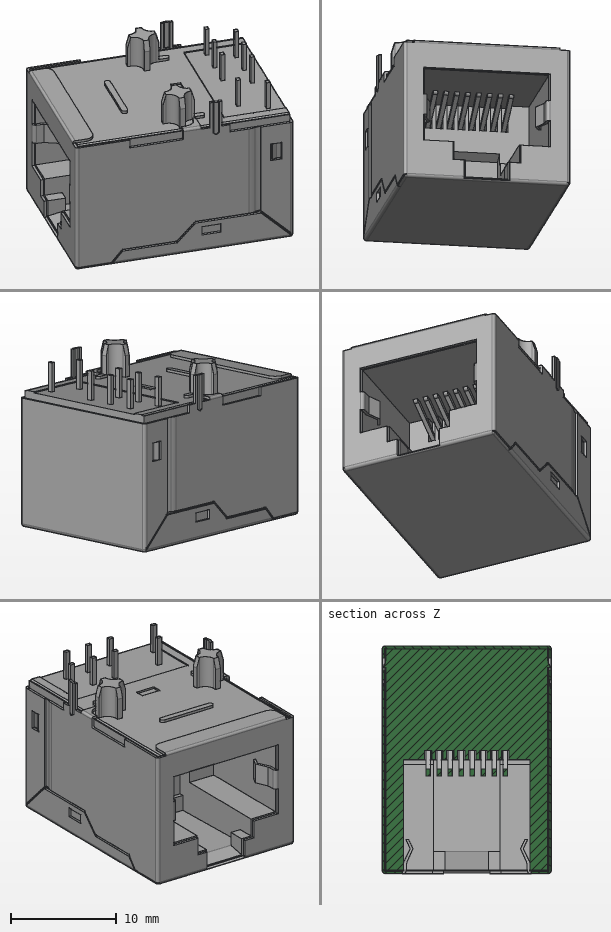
import cadquery as cq
import math

LENGTH = 21.6
TOTAL_HEIGHT = 16.45
TOTAL_WIDTH = 16.2
BEAD_HEIGHT = 0.09
SHEET = 0.25
BEND_RADIUS = 0.3
FOLD_RADIUS = 0.24
TOP = 13.33
CLEARANCE = 0.09
PIN_TOP = 16.05

raised_top = TOP + SHEET
shield_half = TOTAL_WIDTH / 2 - BEAD_HEIGHT
inner_half = shield_half - SHEET
housing_half = inner_half - CLEARANCE
housing_front = SHEET + CLEARANCE
housing_rear = LENGTH - SHEET

OPENING_HALF, OPENING_BOTTOM, OPENING_TOP = 6.1, 3.7, 10.9
CAVITY_TOP = 10.85
OPENING_MARGIN = 0.1
NOTCH_MARGIN = 0.15
LATCH_HALF, SILL_TOP = 3.15, 2.03
SILL_NOTCH_HALF = 2.05
SILL_DEPTH = 2.1
RAMP_START, RAMP_END, SLOT_FLOOR_END = 0.37, 0.7, 0.48
SLOT_CEILING, SLOT_CEILING_FRONT = 5.5, 6.05
CAVITY_DEPTH, SLOT_DEPTH = 10.8, 11.88
LEDGE_TOP, LEDGE_DEPTH = 4.97, 0.43

cavity_half = OPENING_HALF - OPENING_MARGIN
cavity_bottom = OPENING_BOTTOM + OPENING_MARGIN

CONTACT_COUNT, CONTACT_ROW = 8, 7.32
CONTACT_WIDTH, CONTACT_SLOT_WIDTH = 0.43, 0.67
CONTACT_THICKNESS = 0.3
CONTACT_BEND = 0.3
CONTACT_START = 7.13
CONTACT_SLOT_BOTTOM, CONTACT_SLOT_DEPTH = 8.25, 0.86

SHOULDER_INNER, SHOULDER_OUTER, SHOULDER_DROP = 7.37, 7.55, 0.09
REAR_RECESS_HALF, REAR_RECESS_START, REAR_RECESS_DEPTH = 6.48, 15.18, 0.1
POCKET_HALF, POCKET_START, POCKET_END, POCKET_DEPTH = 1.02, 12.2, 13.18, 0.17
BAR_LENGTH, BAR_WIDTH, BAR_Y = 6.1, 0.6, 6.45

POST_X, POST_Y = 5.7, 10.85
POST_REACH, POST_TOP_REACH = 1.55, 1.25
ARM_HALF = 0.28
TAPER_HEIGHT = 1.04
RIB_CORNER_RADIUS = 0.25
RIB_END = 13.48

PIN_ROW = 10.15
FIRST_PIN_X = -5.7
PIN_WIDTH, PIN_DEPTH = 0.48, 0.37
FRONT_PIN_Y, REAR_PIN_Y = 17.2, 19.75
PIN_PLACES = [0, 1, 2, 4]

pin_pitch = PIN_ROW / PIN_PLACES[-1]

WINDOW_START, WINDOW_END, WINDOW_BOTTOM, WINDOW_TOP = 19.33, 20.43, 8.73, 10.52
LATCH_TIP_Y, LATCH_BREAK_Y, LATCH_BREAK, LATCH_HEIGHT = 19.5, 20.0, 0.06, 0.3
LOW_WINDOW = (12.53, 14.4, 1.75, 2.65)

REAR_NOTCH_START, REAR_NOTCH_BOTTOM = 15.31, 12.55
SIDE_NOTCH_START, SIDE_NOTCH_END, SIDE_NOTCH_BOTTOM = 5.35, 10.67, 12.48
NOTCH_CORNER_RADIUS = 0.15
FLAP_HALF, FLAP_LENGTH, FLAP_CORNER_RADIUS = 7.02, 2.22, 0.86
TAB_END, TAB_REACH, TAB_STRIP, TAB_FINGER = 12.45, 1.84, 0.58, 0.32
TAB_HOLLOW_RADIUS = 1.02
PRONG_Y, PRONG_WIDTH = 13.9, 1.17
BEAD_HALF, BEAD_FLAT_HALF, BEAD_SHOULDER, BEAD_BOTTOM = 0.32, 0.22, 12.75, 12.53
JOG_START, JOG_END, JOG_DEPTH = 17.2, 18.38, 0.17
SEAM_GAP = 0.2
SEAM_HIGH, SEAM_LOW = 3.35, 1.51
SEAM_STEP_TOP, SEAM_STEP_BOTTOM, SEAM_LOW_END = 11.88, 10.07, 4.65
BASE_LIP = 0.09
SEAM_FRONT = 3.56
SPRING_BOTTOM, SPRING_TOP = 6.29, 8.27
SPRING_BULGE_X = 5.1
SPRING_BULGE_START, SPRING_BULGE_Y, SPRING_END = 1.08, 2.38, 3.25
SPRING_TIP_X = 5.5
SPRING_LEAN = 0.05
SPRING_BEND = 0.35


def box(x0, x1, y0, y1, z0, z1):
    """Box given by its limits along each axis."""
    return cq.Workplane().box(x1 - x0, y1 - y0, z1 - z0, centered=False).translate((x0, y0, z0))


def side_plate(points, x0, x1):
    """Closed Y-Z outline extruded along X from x0 to x1."""
    return cq.Workplane("YZ").workplane(offset=x0).polyline(points).close().extrude(x1 - x0)


def both_sides(body):
    """The +X feature together with its mirror image on the -X side."""
    return body.union(body.mirror("YZ"))


def housing_block():
    """Block with a low stepped shoulder along both long top edges."""
    shoulder = TOP - SHOULDER_DROP
    right_edge = [
        (housing_half, SHEET),
        (housing_half, shoulder),
        (SHOULDER_OUTER, shoulder),
        (SHOULDER_INNER, TOP),
    ]
    left_edge = [(-x, z) for x, z in reversed(right_edge)]
    outline = cq.Workplane("XZ").polyline(right_edge + left_edge).close()
    return outline.extrude(-(housing_rear - housing_front)).translate((0, housing_front, 0))


def plug_cavity():
    """Main plug space, with a shallower floor step at its end."""
    cavity = box(-cavity_half, cavity_half, housing_front, CAVITY_DEPTH, cavity_bottom, CAVITY_TOP)
    ledge_start = CAVITY_DEPTH - LEDGE_DEPTH
    ledge = box(-cavity_half, cavity_half, ledge_start, CAVITY_DEPTH, cavity_bottom, LEDGE_TOP)
    return cavity.cut(ledge)


def latch_slot():
    """Slot for the plug's latch, behind a sill that has a ramped notch in its middle."""
    slot = side_plate(
        [
            (housing_front, SILL_TOP),
            (SILL_DEPTH, SILL_TOP),
            (SILL_DEPTH, RAMP_END),
            (SLOT_DEPTH - LEDGE_DEPTH, SLOT_FLOOR_END),
            (SLOT_DEPTH - LEDGE_DEPTH, SILL_TOP),
            (SLOT_DEPTH, SILL_TOP),
            (SLOT_DEPTH, SLOT_CEILING),
            (CAVITY_DEPTH, SLOT_CEILING_FRONT),
            (housing_front, SLOT_CEILING_FRONT),
        ],
        -LATCH_HALF,
        LATCH_HALF,
    )
    notch = side_plate(
        [
            (housing_front, RAMP_START),
            (SILL_DEPTH, RAMP_END),
            (SILL_DEPTH, SILL_TOP),
            (housing_front, SILL_TOP),
        ],
        -SILL_NOTCH_HALF,
        SILL_NOTCH_HALF,
    )
    return slot.union(notch)


def contact_positions():
    pitch = CONTACT_ROW / (CONTACT_COUNT - 1)
    return [i * pitch - CONTACT_ROW / 2 for i in range(CONTACT_COUNT)]


def contact_slot(x):
    return box(
        x - CONTACT_SLOT_WIDTH / 2, x + CONTACT_SLOT_WIDTH / 2,
        CAVITY_DEPTH, CAVITY_DEPTH + CONTACT_SLOT_DEPTH,
        CONTACT_SLOT_BOTTOM, CAVITY_TOP,
    )


def contact(x):
    """Sloping contact spring from the cavity ceiling down into its slot in the end wall."""
    end = CAVITY_DEPTH + CONTACT_SLOT_DEPTH
    bend_side = CONTACT_BEND * (1 - math.cos(math.pi / 4))
    bend_drop = CONTACT_BEND * math.sin(math.pi / 4)
    return (
        cq.Workplane("YZ")
        .workplane(offset=x - CONTACT_WIDTH / 2)
        .moveTo(CONTACT_START, CAVITY_TOP)
        .threePointArc(
            (CONTACT_START + bend_side, CAVITY_TOP - bend_drop),
            (CONTACT_START + CONTACT_BEND, CAVITY_TOP - CONTACT_BEND),
        )
        .lineTo(end, CONTACT_SLOT_BOTTOM)
        .lineTo(end, CONTACT_SLOT_BOTTOM + CONTACT_THICKNESS)
        .lineTo(CONTACT_START + 2 * CONTACT_BEND, CAVITY_TOP)
        .close()
        .extrude(CONTACT_WIDTH)
    )


def top_recesses():
    """Shallow field around the pins and the small rectangular pocket."""
    field = box(
        -REAR_RECESS_HALF, REAR_RECESS_HALF, REAR_RECESS_START, housing_rear,
        TOP - REAR_RECESS_DEPTH, TOP,
    )
    pocket = box(-POCKET_HALF, POCKET_HALF, POCKET_START, POCKET_END, TOP - POCKET_DEPTH, TOP)
    return field.union(pocket)


def standoff_bar():
    bar = cq.Workplane().workplane(offset=TOP).center(0, BAR_Y).slot2D(BAR_LENGTH, BAR_WIDTH)
    return bar.extrude(raised_top - TOP)


def board_post():
    """Cross-shaped post with hollowed corners, tapered arm tips and a low rib behind it."""
    height = TOTAL_HEIGHT - TOP
    square = cq.Workplane().workplane(offset=TOP).rect(2 * POST_REACH, 2 * POST_REACH)
    taper = math.degrees(math.atan((POST_REACH - POST_TOP_REACH) / TAPER_HEIGHT))
    post = square.extrude(height - TAPER_HEIGHT)
    post = post.faces(">Z").wires().toPending().extrude(TAPER_HEIGHT, taper=taper)

    radius = POST_TOP_REACH - ARM_HALF
    corner = box(ARM_HALF, POST_REACH, ARM_HALF, POST_REACH, TOP, TOTAL_HEIGHT)
    corner = corner.edges("|Z and <X and <Y").fillet(radius)
    for quarter in range(4):
        post = post.cut(corner.rotate((0, 0, 0), (0, 0, 1), 90 * quarter))

    rib_length = RIB_END - POST_Y
    rib = box(-ARM_HALF, ARM_HALF, 0, rib_length, TOP, raised_top)
    rib = rib.edges("|Z and >Y").fillet(RIB_CORNER_RADIUS)
    return post.union(rib).translate((POST_X, POST_Y, 0))


def signal_pins():
    """Two staggered rows of four pins."""
    floor = TOP - REAR_RECESS_DEPTH
    front_row = [(FIRST_PIN_X + place * pin_pitch, FRONT_PIN_Y) for place in PIN_PLACES]
    rear_row = [(x + pin_pitch / 2, REAR_PIN_Y) for x, _ in front_row]
    pins = cq.Workplane().workplane(offset=floor).pushPoints(front_row + rear_row)
    return pins.rect(PIN_WIDTH, PIN_DEPTH).extrude(PIN_TOP - floor)


def side_latch():
    """Wedge on the +X side that snaps into the rear window of the shield."""
    tip = housing_half + LATCH_HEIGHT
    outline = [
        (housing_half, LATCH_TIP_Y),
        (tip, LATCH_TIP_Y),
        (housing_half + LATCH_BREAK, LATCH_BREAK_Y),
        (housing_half, WINDOW_END),
    ]
    wedge = cq.Workplane().workplane(offset=WINDOW_BOTTOM).polyline(outline).close()
    return wedge.extrude(WINDOW_TOP - WINDOW_BOTTOM)


def make_housing():
    housing = housing_block().cut(plug_cavity()).cut(latch_slot()).cut(top_recesses())
    for x in contact_positions():
        housing = housing.cut(contact_slot(x)).union(contact(x))
    housing = housing.union(standoff_bar()).union(signal_pins())
    return housing.union(both_sides(board_post())).union(both_sides(side_latch()))


def shield_shell():
    """Open-topped tray of sheet metal with rounded outer edges."""
    outer = box(-shield_half, shield_half, 0, LENGTH, 0, TOP)
    outer = outer.edges("|Z or <Z").fillet(BEND_RADIUS)
    return outer.cut(box(-inner_half, inner_half, SHEET, LENGTH - SHEET, SHEET, TOP))


def shield_opening():
    """Stepped plug opening in the front wall, down to the edge of the base plate."""
    latch_half = LATCH_HALF + OPENING_MARGIN
    notch_half = SILL_NOTCH_HALF + NOTCH_MARGIN
    sill = SILL_TOP - CLEARANCE
    main = box(-OPENING_HALF, OPENING_HALF, 0, SHEET, OPENING_BOTTOM, OPENING_TOP)
    latch = box(-latch_half, latch_half, 0, SHEET, sill, OPENING_BOTTOM)
    notch = box(-notch_half, notch_half, 0, SHEET, SHEET, sill)
    base_edge = side_plate([(0, BASE_LIP), (SHEET, SHEET), (0, SHEET)], -notch_half, notch_half)
    return main.union(latch).union(notch).union(base_edge)


def front_flap():
    """Flap folded from the front wall over the housing."""
    flap = box(-FLAP_HALF, FLAP_HALF, 0, FLAP_LENGTH, TOP, raised_top)
    flap = flap.edges("|Z and >Y").fillet(FLAP_CORNER_RADIUS)
    return flap.edges("<Y and >Z").fillet(FOLD_RADIUS)


def side_tab():
    """Tab folded from the +X wall over the housing, hollowed around the board post."""
    inner_edge = shield_half - TAB_REACH
    tab = box(inner_edge, shield_half, SIDE_NOTCH_END, TAB_END, TOP, raised_top)
    tab = tab.edges(">X and >Z").fillet(FOLD_RADIUS)
    hollow = box(
        inner_edge, shield_half - TAB_STRIP, SIDE_NOTCH_END, TAB_END - TAB_FINGER,
        TOP, raised_top,
    )
    return tab.cut(hollow.edges("|Z and >X and >Y").fillet(TAB_HOLLOW_RADIUS))


def bead_prism(base_x):
    """Pointed trapezoidal bead standing BEAD_HEIGHT out of the plane X = base_x."""
    profile = [
        (base_x, PRONG_Y - BEAD_HALF),
        (base_x + BEAD_HEIGHT, PRONG_Y - BEAD_FLAT_HALF),
        (base_x + BEAD_HEIGHT, PRONG_Y + BEAD_FLAT_HALF),
        (base_x, PRONG_Y + BEAD_HALF),
    ]
    prism = cq.Workplane().workplane(offset=BEAD_BOTTOM).polyline(profile).close()
    prism = prism.extrude(PIN_TOP - BEAD_BOTTOM)
    pointed = side_plate(
        [
            (PRONG_Y - BEAD_HALF, BEAD_SHOULDER),
            (PRONG_Y, BEAD_BOTTOM),
            (PRONG_Y + BEAD_HALF, BEAD_SHOULDER),
            (PRONG_Y + BEAD_HALF, PIN_TOP),
            (PRONG_Y - BEAD_HALF, PIN_TOP),
        ],
        base_x,
        base_x + BEAD_HEIGHT,
    )
    return prism.intersect(pointed)


def ground_prong():
    """Board prong on the +X wall, stiffened by a bead that is hollow behind."""
    half = PRONG_WIDTH / 2
    prong = box(inner_half, shield_half, PRONG_Y - half, PRONG_Y + half, TOP, PIN_TOP)
    return prong.union(bead_prism(shield_half)).cut(bead_prism(inner_half))


def wall_notches():
    """Cut-outs in the top edge of the +X wall, and of the whole rear wall."""
    rear = box(0, shield_half, REAR_NOTCH_START, LENGTH, REAR_NOTCH_BOTTOM, TOP)
    side = box(inner_half, shield_half, SIDE_NOTCH_START, SIDE_NOTCH_END, SIDE_NOTCH_BOTTOM, TOP)
    return rear.union(side.edges("<Z and >Y").fillet(NOTCH_CORNER_RADIUS))


def wall_jog():
    """S-shaped inward jog of the +X wall, ending at the sharp edge of the rear panel."""
    half_length = (JOG_END - JOG_START) / 2
    middle_y = JOG_START + half_length
    middle_x = shield_half - JOG_DEPTH / 2
    radius = (half_length**2 + (JOG_DEPTH / 2) ** 2) / JOG_DEPTH
    outline = (
        cq.Workplane()
        .workplane(offset=SEAM_HIGH)
        .moveTo(shield_half, JOG_START)
        .radiusArc((middle_x, middle_y), -radius)
        .radiusArc((shield_half - JOG_DEPTH, JOG_END), radius)
        .lineTo(shield_half, JOG_END)
        .close()
    )
    return outline.extrude(TOP - SEAM_HIGH)


def wall_seam():
    """Open seam between the +X wall and the lower panel folded up from the base."""
    upper = [
        (LENGTH - SHEET, SHEET + SEAM_GAP),
        (JOG_END, SEAM_HIGH),
        (SEAM_STEP_TOP, SEAM_HIGH),
        (SEAM_STEP_BOTTOM, SEAM_LOW),
        (SEAM_LOW_END, SEAM_LOW),
        (SEAM_FRONT, SHEET),
    ]
    lower = [(y, z - SEAM_GAP) for y, z in reversed(upper)]
    seam = side_plate(upper + lower, inner_half, shield_half)
    base_slope = [(inner_half, SHEET), (shield_half, BASE_LIP), (shield_half, SHEET)]
    base_edge = cq.Workplane("XZ").polyline(base_slope).close().extrude(-SEAM_FRONT)
    return seam.union(base_edge)


def wall_windows():
    """Latch window near the rear and the lower window in the folded-up panel."""
    window = box(inner_half, shield_half, WINDOW_START, WINDOW_END, WINDOW_BOTTOM, WINDOW_TOP)
    return window.union(box(inner_half, shield_half, *LOW_WINDOW))


def plug_spring():
    """Grounding leaf bent from the +X edge of the opening into the plug cavity."""
    leaf_x = cavity_half - SHEET
    bend_middle = SPRING_BEND * (1 - math.sin(math.pi / 4))
    return (
        cq.Workplane()
        .workplane(offset=SPRING_BOTTOM)
        .moveTo(leaf_x + SPRING_BEND, 0)
        .threePointArc((leaf_x + bend_middle, bend_middle), (leaf_x, SPRING_BEND))
        .lineTo(leaf_x - SPRING_LEAN, SPRING_BULGE_START)
        .lineTo(SPRING_BULGE_X, SPRING_BULGE_Y)
        .lineTo(SPRING_TIP_X, SPRING_END)
        .lineTo(SPRING_TIP_X + SHEET, SPRING_END)
        .lineTo(SPRING_BULGE_X + SHEET, SPRING_BULGE_Y)
        .lineTo(cavity_half, SPRING_BULGE_START)
        .lineTo(cavity_half, SHEET)
        .lineTo(OPENING_HALF, SHEET)
        .lineTo(OPENING_HALF, 0)
        .close()
        .extrude(SPRING_TOP - SPRING_BOTTOM)
    )


def make_shield():
    shield = shield_shell().cut(shield_opening()).union(front_flap())
    for cutter in (wall_notches(), wall_jog(), wall_seam(), wall_windows()):
        shield = shield.cut(both_sides(cutter))
    for addition in (side_tab(), ground_prong(), plug_spring()):
        shield = shield.union(both_sides(addition))
    return shield


housing = make_housing()
shield = make_shield()

result = cq.Compound.makeCompound([housing.solids().val(), shield.solids().val()])